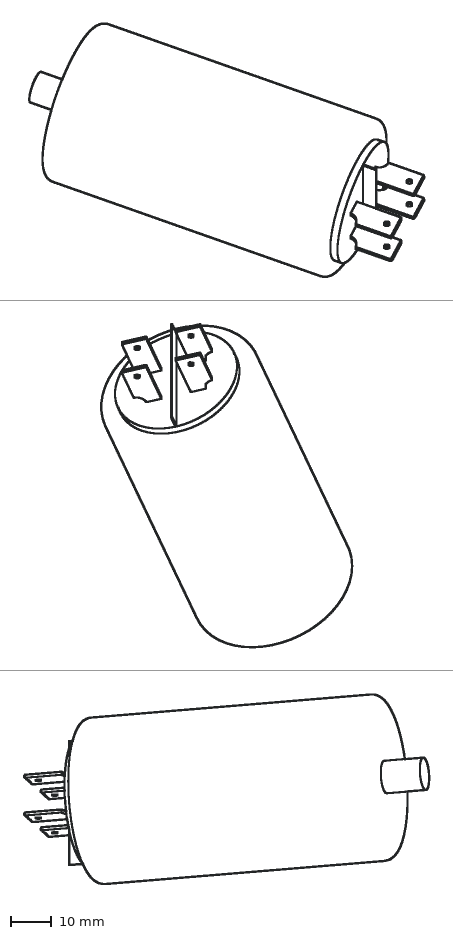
import cadquery as cq

CAN_DIAMETER = 41.0
CAN_LENGTH = 75.5
CAN_EDGE_RADIUS = 2.0

STUD_DIAMETER = 8.0
STUD_LENGTH = 10.0

PLATE_DIAMETER = 31.5
PLATE_THICKNESS = 1.9
PLATE_FACE_X = CAN_LENGTH + PLATE_THICKNESS

BARRIER_THICKNESS = 0.3
BARRIER_PROJECTION = 3.5

OVERALL_LENGTH = 99.5
BLADE_LENGTH = OVERALL_LENGTH - STUD_LENGTH - PLATE_FACE_X
BLADE_WIDTH = 6.3
BLADE_THICKNESS = 0.8
BLADE_TIP_CHAMFER = 0.3
BLADE_RELIEF_RADIUS = 2.4
BLADE_HOLE_DIAMETER = 1.3
BLADE_HOLE_TO_TIP = 2.75
BLADE_OFFSET_Y = 6.95
BLADE_OFFSET_Z = 4.8


def cylinder_along_x(start_x, length, diameter):
    """Solid cylinder on the X axis, growing towards +X from start_x."""
    return cq.Workplane("YZ", origin=(start_x, 0, 0)).circle(diameter / 2).extrude(length)


def make_can():
    """Can with both end edges rounded."""
    return cylinder_along_x(0, CAN_LENGTH, CAN_DIAMETER).edges("%CIRCLE").fillet(CAN_EDGE_RADIUS)


def make_barrier():
    """Thin wall standing on the plate face across its full diameter."""
    return cq.Workplane("XY", origin=(PLATE_FACE_X, 0, 0)).box(
        BARRIER_PROJECTION, BARRIER_THICKNESS, PLATE_DIAMETER, centered=(False, True, True)
    )


def make_blade():
    """Blade for the +Y column: centred on the X axis, root at X = 0, relief on its +Y root corner."""
    blade = cq.Workplane("XY").box(
        BLADE_LENGTH, BLADE_WIDTH, BLADE_THICKNESS, centered=(False, True, True)
    )
    blade = blade.faces(">X").edges().chamfer(BLADE_TIP_CHAMFER)
    relief = (
        cq.Workplane("XY")
        .center(0, BLADE_WIDTH / 2)
        .circle(BLADE_RELIEF_RADIUS)
        .extrude(BLADE_THICKNESS, both=True)
    )
    hole = (
        cq.Workplane("XY")
        .center(BLADE_LENGTH - BLADE_HOLE_TO_TIP, 0)
        .circle(BLADE_HOLE_DIAMETER / 2)
        .extrude(BLADE_THICKNESS, both=True)
    )
    return blade.cut(relief).cut(hole)


result = make_can()
result = result.union(cylinder_along_x(-STUD_LENGTH, STUD_LENGTH, STUD_DIAMETER))
result = result.union(cylinder_along_x(CAN_LENGTH, PLATE_THICKNESS, PLATE_DIAMETER))
result = result.union(make_barrier())

positive_y_blade = make_blade().translate((PLATE_FACE_X, BLADE_OFFSET_Y, 0))
for blade in (positive_y_blade, positive_y_blade.mirror("XZ")):
    for blade_z in (-BLADE_OFFSET_Z, BLADE_OFFSET_Z):
        result = result.union(blade.translate((0, 0, blade_z)))